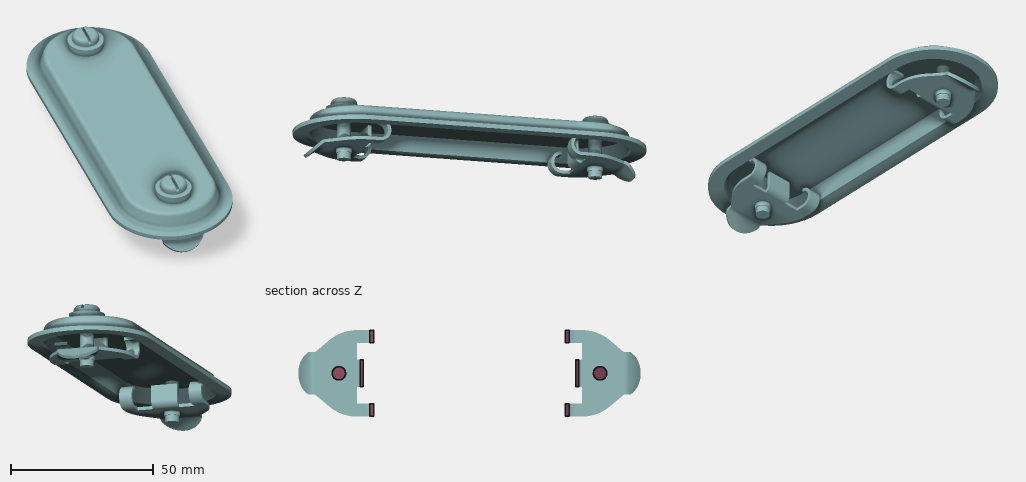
import cadquery as cq
import math

COVER_LENGTH = 127.0
COVER_WIDTH = 44.45
SHEET = 1.524
FLANGE_RADIUS = COVER_WIDTH / 2

DOME_HEIGHT = 6.858
DOME_RADIUS = 18.08
DOME_CENTRE_X = 40.9
DOME_DRAFT = 20.0
DOME_FILLET = 1.65
SELECT_MARGIN = 0.1

SCREW_X = 45.72
SHANK_DIAMETER = 4.83
SHANK_BOTTOM = -9.14
HEAD_DIAMETER = 9.27
HEAD_TOP = 12.59
HEAD_FILLET = 1.6
SLOT_WIDTH = 1.14
SLOT_DEPTH = 1.55

SEAL_DIAMETER = 12.45
SEAL_THICKNESS = 1.524
WASHER_DIAMETER = 12.7
WASHER_RIM_THICKNESS = 1.27
WASHER_CONE_HEIGHT = 0.2
SEAL_TOP = DOME_HEIGHT + SEAL_THICKNESS
WASHER_RIM = SEAL_TOP + WASHER_RIM_THICKNESS
HEAD_BOTTOM = WASHER_RIM + WASHER_CONE_HEIGHT

CLIP_THICKNESS = 1.14
CLIP_TOP = -4.22
CLIP_BOTTOM = CLIP_TOP - CLIP_THICKNESS
CLIP_RADIUS = 15.16
CLIP_CENTRE_X = 6.35
SHOULDER_X = -3.1
TOE_HALF_WIDTH = 7.4
TOE_BEND_X = -8.4
TOE_ANGLE = 40.0
TOE_BEND_RADIUS = 2.8
TOE_LENGTH = 5.28
TOE_STRAIGHT = 0.7
CURL_INNER_Y = 10.56
CURL_START_X = 9.0
CURL_RADIUS = 4.0
LEG_WIDTH = 9.56
BEND_INNER_RADIUS = 1.12
BEND_OUTER_RADIUS = BEND_INNER_RADIUS + CLIP_THICKNESS
COLLAR_DIAMETER = 5.56
COLLAR_LENGTH = 1.53
COLLAR_ROOT_FILLET = 0.25


def oblong(radius, centre_x, base_z=0.0):
    return cq.Workplane("XY", origin=(0, 0, base_z)).slot2D(2 * (centre_x + radius), 2 * radius)


def make_cover():
    dome = oblong(DOME_RADIUS, DOME_CENTRE_X, SHEET).extrude(DOME_HEIGHT - SHEET, taper=DOME_DRAFT)
    dome = dome.faces(">Z").edges().fillet(DOME_FILLET)
    flange = oblong(FLANGE_RADIUS, COVER_LENGTH / 2 - FLANGE_RADIUS).extrude(SHEET)
    body = flange.union(dome)
    foot_zone = cq.selectors.BoxSelector(
        (-COVER_LENGTH / 2, -DOME_RADIUS - SELECT_MARGIN, SHEET - SELECT_MARGIN),
        (COVER_LENGTH / 2, DOME_RADIUS + SELECT_MARGIN, SHEET + SELECT_MARGIN),
        boundingbox=True,
    )
    body = body.edges(foot_zone).fillet(DOME_FILLET)

    draft = math.radians(DOME_DRAFT)
    wall_inset = SHEET / math.cos(draft) - SHEET * math.tan(draft)
    cavity = oblong(DOME_RADIUS - wall_inset, DOME_CENTRE_X).extrude(DOME_HEIGHT - SHEET, taper=DOME_DRAFT)
    screw_holes = (
        cq.Workplane("XY")
        .pushPoints([(-SCREW_X, 0), (SCREW_X, 0)])
        .circle(SHANK_DIAMETER / 2)
        .extrude(DOME_HEIGHT)
    )
    return body.cut(cavity).cut(screw_holes)


def cylinder(diameter, bottom, top):
    return cq.Workplane("XY", origin=(0, 0, bottom)).circle(diameter / 2).extrude(top - bottom)


def shank():
    return cylinder(SHANK_DIAMETER, SHANK_BOTTOM, HEAD_BOTTOM)


def make_screw():
    head = cylinder(HEAD_DIAMETER, HEAD_BOTTOM, HEAD_TOP).faces(">Z").edges().fillet(HEAD_FILLET)
    slot = cq.Workplane("XY", origin=(0, 0, HEAD_TOP - SLOT_DEPTH / 2)).box(
        HEAD_DIAMETER, SLOT_WIDTH, SLOT_DEPTH
    )
    return head.cut(slot).union(shank())


def make_washer():
    """Flat-bottomed washer whose top rises as a shallow cone to the screw head."""
    return (
        cq.Workplane("XZ")
        .moveTo(SHANK_DIAMETER / 2, SEAL_TOP)
        .lineTo(WASHER_DIAMETER / 2, SEAL_TOP)
        .lineTo(WASHER_DIAMETER / 2, WASHER_RIM)
        .lineTo(HEAD_DIAMETER / 2, HEAD_BOTTOM)
        .lineTo(SHANK_DIAMETER / 2, HEAD_BOTTOM)
        .close()
        .revolve(360, (0, 0, 0), (0, 1, 0))
    )


def make_seal():
    return cylinder(SEAL_DIAMETER, DOME_HEIGHT, SEAL_TOP).cut(shank())


def clip_plate():
    """Half disc with sloping shoulders that narrow to the width of the toe."""
    shoulder_angle = math.asin((CLIP_CENTRE_X - SHOULDER_X) / CLIP_RADIUS)
    shoulder_y = CLIP_RADIUS * math.cos(shoulder_angle)
    mid_x = CLIP_CENTRE_X - CLIP_RADIUS * math.sin(shoulder_angle / 2)
    mid_y = CLIP_RADIUS * math.cos(shoulder_angle / 2)
    return (
        cq.Workplane("XY", origin=(0, 0, CLIP_BOTTOM))
        .moveTo(CLIP_CENTRE_X, CLIP_RADIUS)
        .threePointArc((mid_x, mid_y), (SHOULDER_X, shoulder_y))
        .lineTo(TOE_BEND_X, TOE_HALF_WIDTH)
        .lineTo(TOE_BEND_X, -TOE_HALF_WIDTH)
        .lineTo(SHOULDER_X, -shoulder_y)
        .threePointArc((mid_x, -mid_y), (CLIP_CENTRE_X, -CLIP_RADIUS))
        .close()
        .extrude(CLIP_THICKNESS)
    )


def clip_toe():
    """Round-ended toe, laid out flat, tilted down and joined to the plate by a bend."""
    pivot = (TOE_BEND_X, 0, CLIP_TOP - TOE_BEND_RADIUS)
    pivot_end = (TOE_BEND_X, 1, CLIP_TOP - TOE_BEND_RADIUS)
    toe = (
        cq.Workplane("XY", origin=(TOE_BEND_X, 0, CLIP_BOTTOM))
        .moveTo(0, TOE_HALF_WIDTH)
        .lineTo(-TOE_STRAIGHT, TOE_HALF_WIDTH)
        .threePointArc((-TOE_LENGTH, 0), (-TOE_STRAIGHT, -TOE_HALF_WIDTH))
        .lineTo(0, -TOE_HALF_WIDTH)
        .close()
        .extrude(CLIP_THICKNESS)
        .rotate(pivot, pivot_end, -TOE_ANGLE)
    )
    bend = (
        cq.Workplane("YZ", origin=(TOE_BEND_X, 0, 0))
        .center(0, CLIP_TOP - CLIP_THICKNESS / 2)
        .rect(2 * TOE_HALF_WIDTH, CLIP_THICKNESS)
        .revolve(
            TOE_ANGLE,
            (0, CLIP_THICKNESS / 2 - TOE_BEND_RADIUS),
            (-1, CLIP_THICKNESS / 2 - TOE_BEND_RADIUS),
        )
    )
    return bend.union(toe)


def clip_curl(outer_y):
    """Strip that runs off the plate and rolls upwards through half a turn."""
    curl_inner = CURL_RADIUS - CLIP_THICKNESS
    centre_z = CLIP_BOTTOM + CURL_RADIUS
    return (
        cq.Workplane("XZ", origin=(0, outer_y, 0))
        .moveTo(CLIP_CENTRE_X, CLIP_BOTTOM)
        .lineTo(CURL_START_X, CLIP_BOTTOM)
        .threePointArc((CURL_START_X + CURL_RADIUS, centre_z), (CURL_START_X, centre_z + CURL_RADIUS))
        .lineTo(CURL_START_X, centre_z + curl_inner)
        .threePointArc((CURL_START_X + curl_inner, centre_z), (CURL_START_X, CLIP_TOP))
        .lineTo(CLIP_CENTRE_X, CLIP_TOP)
        .close()
        .extrude(CLIP_RADIUS - CURL_INNER_Y)
    )


def clip_leg():
    """Upright leg between the curls, joined to the plate by a bend."""
    bend_z = CLIP_TOP + BEND_INNER_RADIUS
    leg_top = CLIP_BOTTOM + 2 * CURL_RADIUS
    return (
        cq.Workplane("XZ", origin=(CLIP_CENTRE_X, LEG_WIDTH / 2, 0))
        .moveTo(0, CLIP_BOTTOM)
        .radiusArc((BEND_OUTER_RADIUS, bend_z), -BEND_OUTER_RADIUS)
        .lineTo(BEND_OUTER_RADIUS, leg_top)
        .lineTo(BEND_INNER_RADIUS, leg_top)
        .lineTo(BEND_INNER_RADIUS, bend_z)
        .radiusArc((0, CLIP_TOP), BEND_INNER_RADIUS)
        .close()
        .extrude(LEG_WIDTH)
    )


def make_clip():
    """Spring clip with a plain-bored collar below its plate."""
    collar = cylinder(COLLAR_DIAMETER, CLIP_BOTTOM - COLLAR_LENGTH, CLIP_BOTTOM)
    collar_root = cq.selectors.RadiusNthSelector(0)
    plate = clip_plate().union(collar)
    plate = plate.faces("<Z[1]").edges("%CIRCLE").edges(collar_root).fillet(COLLAR_ROOT_FILLET)
    clip = plate.union(clip_toe()).union(clip_leg())
    clip = clip.union(clip_curl(CLIP_RADIUS)).union(clip_curl(-CURL_INNER_Y))
    return clip.cut(shank())


bodies = [make_cover().val()]
for turn in (0, 180):
    for make_part in (make_screw, make_washer, make_seal, make_clip):
        part = make_part().translate((-SCREW_X, 0, 0)).rotate((0, 0, 0), (0, 0, 1), turn)
        bodies.append(part.val())

result = cq.Compound.makeCompound(bodies)